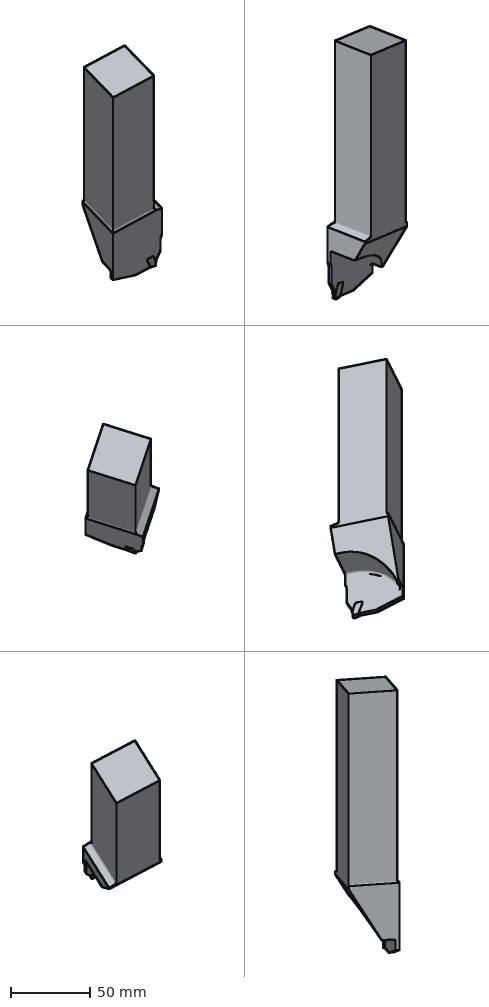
import cadquery as cq
import math

length = 177.8
shank_side = 31.6
head_width = 32.9
head_depth = 38.0
front_step = 1.0
blade_face_x = 30.2
neck_radius = 1.6
neck_z = 53.3
shoulder_edge_z = 50.7
shoulder_angle = math.radians(15)

taper_top_z = 49.3
taper_end_x = 21.3
taper_end_z = 14.8

bottom_z = 1.0
bottom_front_y = 17.6
bottom_back_y = 31.3
front_corner_z = 7.8
back_face_y = 37.0
back_face_low_z = 11.5
back_step_low_z = 23.1
back_step_high_z = 26.5

wall_radius = 35.2
wall_axis_y = 33.0
wall_axis_z = -0.4
wall_fillet = 1.6
margin = 8.9

insert_overhang = 0.2
insert_top_z = 10.1
insert_tip = (33.2, 0.0)
insert_heel = (29.3, 0.7)
insert_heel_side_top = (26.8, 8.2)
insert_heel_bend = (26.7, 9.5)
insert_heel_top_y = 27.4
insert_rake_top_y = 30.8
insert_rake_bend = (31.6, 8.9)
insert_rake_side_top = (32.2, 7.6)
insert_nose_root = (32.9, 4.6)
insert_nose = (33.8, 4.0)
insert_rake_hollow = (32.9, 1.5)
flare_start = (29.5, 0.7)
flare_end = (32.7, 3.7)

shank_back_y = front_step + shank_side
blade_middle_x = (blade_face_x + head_width) / 2


def neck_point(shank_face, drop_angle):
    """Point on a neck arc that curves outward from a shank face at +shank_face."""
    outward = neck_radius * (1 - math.cos(drop_angle))
    return shank_face + outward, neck_z - neck_radius * math.sin(drop_angle)


def neck_sweep(step):
    """Angle of neck arc needed to reach a ledge that is `step` wide."""
    return math.acos(1 - step / neck_radius)


def side_body():
    """Holder outline in YZ, extruded through the full width."""
    sweep = neck_sweep(front_step)
    front_mid_out, front_mid_z = neck_point(0, sweep / 2)
    ledge_z = neck_point(0, sweep)[1]
    back_sweep = math.pi / 2 - shoulder_angle
    return (
        cq.Workplane("YZ")
        .moveTo(front_step, length)
        .lineTo(front_step, neck_z)
        .threePointArc((front_step - front_mid_out, front_mid_z), (0, ledge_z))
        .lineTo(0, front_corner_z)
        .lineTo(bottom_front_y, bottom_z)
        .lineTo(bottom_back_y, bottom_z)
        .lineTo(back_face_y, back_face_low_z)
        .lineTo(back_face_y, back_step_low_z)
        .lineTo(head_depth, back_step_high_z)
        .lineTo(head_depth, shoulder_edge_z)
        .lineTo(*neck_point(shank_back_y, back_sweep))
        .threePointArc(neck_point(shank_back_y, back_sweep / 2), (shank_back_y, neck_z))
        .lineTo(shank_back_y, length)
        .close()
        .extrude(head_width)
    )


def front_body():
    """Holder outline in XZ, extruded through the full depth."""
    sweep = neck_sweep(head_width - shank_side)
    return (
        cq.Workplane("XZ")
        .moveTo(0, length)
        .lineTo(0, taper_top_z)
        .lineTo(taper_end_x, taper_end_z)
        .lineTo(taper_end_x, 0)
        .lineTo(head_width, 0)
        .lineTo(*neck_point(shank_side, sweep))
        .threePointArc(neck_point(shank_side, sweep / 2), (shank_side, neck_z))
        .lineTo(shank_side, length)
        .close()
        .extrude(-head_depth)
    )


def blade_clearance():
    """Space beside the blade, under the curved wall, with a rounded inner edge."""
    wall_top_z = wall_axis_z + wall_radius
    arc_end_y = wall_axis_y - math.sqrt(wall_radius**2 - (taper_end_z - wall_axis_z)**2)
    arc_end_angle = math.pi - math.asin((taper_end_z - wall_axis_z) / wall_radius)
    middle_angle = (math.pi / 2 + arc_end_angle) / 2
    arc_middle = (
        wall_axis_y + wall_radius * math.cos(middle_angle),
        wall_axis_z + wall_radius * math.sin(middle_angle),
    )
    return (
        cq.Workplane("YZ")
        .moveTo(head_depth + margin, -margin)
        .lineTo(head_depth + margin, wall_top_z)
        .lineTo(wall_axis_y, wall_top_z)
        .threePointArc(arc_middle, (arc_end_y, taper_end_z))
        .lineTo(-margin, taper_end_z)
        .lineTo(-margin, -margin)
        .close()
        .extrude(blade_face_x)
        .faces(">X")
        .edges()
        .fillet(wall_fillet)
    )


def insert_blank():
    """Insert outline in YZ, extruded to its widest size across the flanks."""
    start_x = blade_face_x - insert_overhang
    thickness = head_width - blade_face_x + 2 * insert_overhang
    return (
        cq.Workplane("YZ", origin=(start_x, 0, 0))
        .moveTo(*insert_tip)
        .lineTo(*insert_heel)
        .lineTo(*insert_heel_side_top)
        .threePointArc(insert_heel_bend, (insert_heel_top_y, insert_top_z))
        .lineTo(insert_rake_top_y, insert_top_z)
        .threePointArc(insert_rake_bend, insert_rake_side_top)
        .lineTo(*insert_nose_root)
        .lineTo(*insert_nose)
        .lineTo(*insert_rake_hollow)
        .close()
        .extrude(thickness)
    )


def flared_bar():
    """Bar along the flare line: blade thickness above it, widening towards the tip."""
    run_y = flare_end[0] - flare_start[0]
    run_z = flare_end[1] - flare_start[1]
    run = math.hypot(run_y, run_z)
    tip_y = insert_tip[0] - flare_start[0]
    tip_z = insert_tip[1] - flare_start[1]
    tip_distance = (tip_y * run_z - tip_z * run_y) / run
    half_blade = (head_width - blade_face_x) / 2
    half_tip = half_blade + insert_overhang
    plane = cq.Plane(
        origin=(blade_middle_x, *flare_start),
        xDir=(1, 0, 0),
        normal=(0, run_y, run_z),
    )
    section = [
        (-half_blade, -insert_top_z),
        (half_blade, -insert_top_z),
        (half_blade, 0),
        (half_tip, tip_distance),
        (-half_tip, tip_distance),
        (-half_blade, 0),
    ]
    return cq.Workplane(plane).polyline(section).close().extrude(2 * insert_top_z, both=True)


holder = side_body().intersect(front_body()).cut(blade_clearance()).cut(insert_blank())
insert = insert_blank().intersect(flared_bar())

result = cq.Compound.makeCompound([holder.val(), insert.val()])